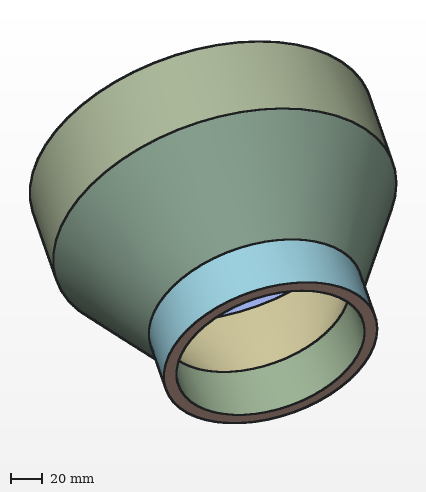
import cadquery as cq

large_diameter = 225.0
large_bore = 198.0
small_diameter = 140.0
small_bore = 123.3

total_length = 162.0
large_length = 55.0
small_length = 35.0
cone_end = total_length - small_length


def stepped_cone(large_dia, small_dia):
    """Solid with a straight collar at each end and a cone between them."""
    large_radius = large_dia / 2
    small_radius = small_dia / 2
    return (
        cq.Workplane("XY")
        .moveTo(0, 0)
        .lineTo(0, large_radius)
        .lineTo(large_length, large_radius)
        .lineTo(cone_end, small_radius)
        .lineTo(total_length, small_radius)
        .lineTo(total_length, 0)
        .close()
        .revolve(360, (0, 0, 0), (1, 0, 0))
    )


outer_body = stepped_cone(large_diameter, small_diameter)
bore = stepped_cone(large_bore, small_bore)

result = outer_body.cut(bore)